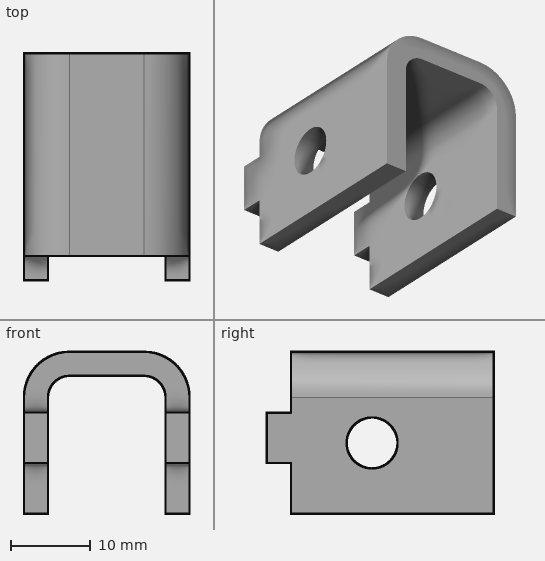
import cadquery as cq

width = 20.77
length = 28.45
height = 20.3

thickness = 3.05
outer_radius = 5.72
inner_radius = outer_radius - thickness

tab_length = thickness
tab_height = 6.35
tab_bottom = 6.35
body_length = length - tab_length

hole_diameter = 6.35
hole_from_back = 15.25
hole_height = 8.88


def arch(arch_width, arch_height, radius):
    """Solid block along Y with both top edges rounded; front face at Y = 0."""
    block = cq.Workplane("XY").box(arch_width, body_length, arch_height, centered=(True, False, False))
    return block.edges("|Y and >Z").fillet(radius)


def tab(side):
    """Tab in front of one leg; side is -1 for the left leg and +1 for the right."""
    leg_center = side * (width - thickness) / 2
    return (
        cq.Workplane("XY")
        .box(thickness, tab_length, tab_height, centered=(True, False, False))
        .translate((leg_center, -tab_length, tab_bottom))
    )


outer = arch(width, height, outer_radius)
inner = arch(width - 2 * thickness, height - thickness, inner_radius)
result = outer.cut(inner)

for side in (-1, 1):
    result = result.union(tab(side))

cross_hole = (
    cq.Workplane("YZ")
    .center(body_length - hole_from_back, hole_height)
    .circle(hole_diameter / 2)
    .extrude(width / 2, both=True)
)
result = result.cut(cross_hole)